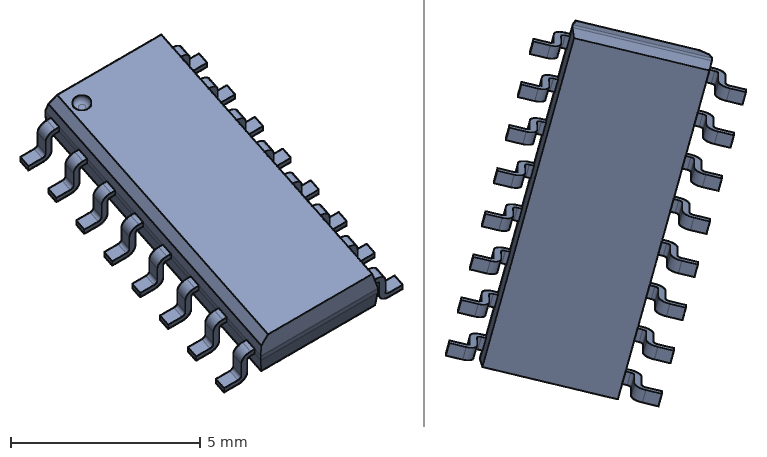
import cadquery as cq
import math

body_length = 9.8
body_width = 3.8
body_top = 1.75
body_bottom = 0.36
lead_tip_span = 5.8

upper_draft = 10.0
lower_draft = 5.0
edge_chamfer_width = 0.31
edge_chamfer_height = 0.25

lead_count = 8
lead_row_span = 8.89
lead_pitch = lead_row_span / (lead_count - 1)
lead_width = 0.37
lead_thickness = 0.2
lead_top = 1.16
lead_underside = lead_top - lead_thickness
lead_inner_radius = 0.11
lead_outer_radius = lead_inner_radius + lead_thickness
foot_length = 0.56
lead_embed = 0.2

dimple_edge_offset = 0.7
dimple_top_diameter = 0.5
dimple_floor_diameter = 0.2
dimple_depth = 0.2


def make_body():
    """Band with drafted halves and a bevel along the pin-one long edge."""
    band = (
        cq.Workplane("XY")
        .workplane(offset=lead_underside)
        .rect(body_length, body_width)
        .extrude(lead_thickness)
    )
    upper = (
        cq.Workplane("XY")
        .workplane(offset=lead_top)
        .rect(body_length, body_width)
        .extrude(body_top - lead_top, taper=upper_draft)
    )
    lower = (
        cq.Workplane("XY")
        .workplane(offset=lead_underside)
        .rect(body_length, body_width)
        .extrude(body_bottom - lead_underside, taper=lower_draft)
    )
    front = -body_width / 2
    bevel_low_z = body_top - edge_chamfer_height
    bevel_low_y = front + (bevel_low_z - lead_top) * math.tan(math.radians(upper_draft))
    bevel = (
        cq.Workplane("YZ")
        .moveTo(front + edge_chamfer_width, body_top)
        .lineTo(bevel_low_y, bevel_low_z)
        .lineTo(front, bevel_low_z)
        .lineTo(front, body_top)
        .close()
        .extrude(body_length / 2, both=True)
    )
    return band.union(upper).union(lower).cut(bevel)


def make_dimple():
    """Round pin-one mark: a short straight wall filleted into a small flat floor."""
    top_radius = dimple_top_diameter / 2
    floor_radius = dimple_floor_diameter / 2
    floor_fillet = top_radius - floor_radius
    half_section = (
        cq.Workplane("XZ")
        .moveTo(0, 0)
        .lineTo(top_radius, 0)
        .lineTo(top_radius, floor_fillet - dimple_depth)
        .radiusArc((floor_radius, -dimple_depth), floor_fillet)
        .lineTo(0, -dimple_depth)
        .close()
    )
    dimple_x = dimple_edge_offset - body_length / 2
    dimple_y = dimple_edge_offset - body_width / 2
    return half_section.revolve(360, (0, 0, 0), (0, 1, 0)).translate((dimple_x, dimple_y, body_top))


def make_lead():
    """Lead centred on X = 0, leaving the body towards +Y and standing on Z = 0."""
    root_y = body_width / 2 - lead_embed
    tip_y = lead_tip_span / 2
    outer_y = tip_y - foot_length
    inner_y = outer_y - lead_thickness
    profile = (
        cq.Workplane("YZ")
        .moveTo(root_y, lead_top)
        .lineTo(outer_y - lead_outer_radius, lead_top)
        .radiusArc((outer_y, lead_top - lead_outer_radius), lead_outer_radius)
        .lineTo(outer_y, lead_thickness + lead_inner_radius)
        .radiusArc((outer_y + lead_inner_radius, lead_thickness), -lead_inner_radius)
        .lineTo(tip_y, lead_thickness)
        .lineTo(tip_y, 0)
        .lineTo(inner_y + lead_outer_radius, 0)
        .radiusArc((inner_y, lead_outer_radius), lead_outer_radius)
        .lineTo(inner_y, lead_underside - lead_inner_radius)
        .radiusArc((inner_y - lead_inner_radius, lead_underside), -lead_inner_radius)
        .lineTo(root_y, lead_underside)
        .close()
    )
    return profile.extrude(lead_width / 2, both=True)


back_lead = make_lead()
front_lead = back_lead.mirror("XZ")

result = make_body().cut(make_dimple())
for index in range(lead_count):
    lead_x = index * lead_pitch - lead_row_span / 2
    result = result.union(back_lead.translate((lead_x, 0, 0)))
    result = result.union(front_lead.translate((lead_x, 0, 0)))